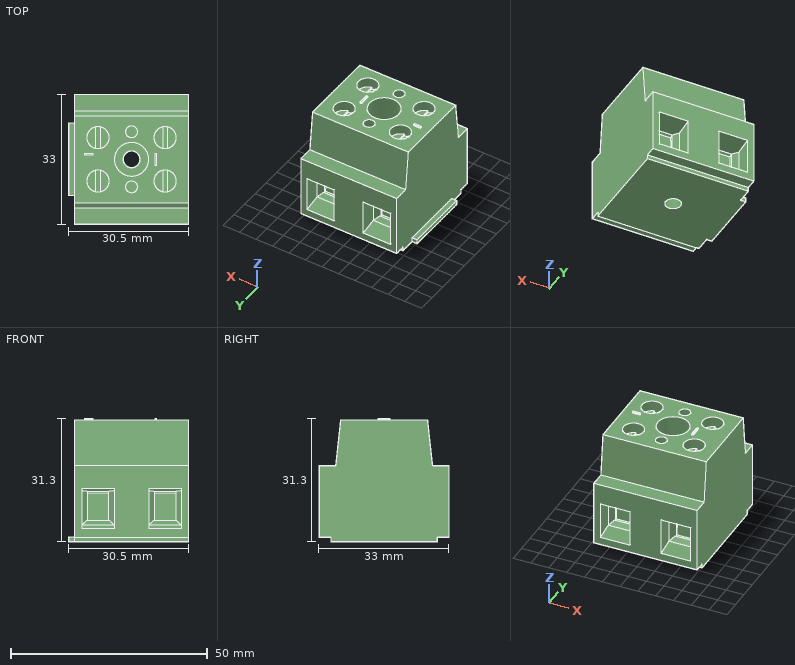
import cadquery as cq
import math


body_width = 29.0
body_length = 33
body_height = 31.0
shoulder_height = 19.4
neck_length_base = 24.62
neck_length_top = 22.1
foot_length = 27.0
foot_height = 1.2

tab_reach = 1.5
tab_length = 18.48
tab_height = 1.32

pole_x = 8.5
screw_y = 5.5
screw_hole_diameter = 5.6
screw_hole_depth = 2.95
slot_width = 1.15
slot_depth = 0.5

mount_hole_diameter = 4.2
mount_bore_diameter = 8.6
blind_hole_diameter = 3.0
blind_hole_depth = 3.0
blind_hole_y = 7.0

entry_width = 8.25
entry_bottom = 3.4
entry_top = 13.6
throat_width = 5.45
throat_floor = 5.45
straight_depth = 4.72
floor_angle = 10.3
ceiling_angle = 6.9
guard_drop = 0.43
guard_bend_angle = 30
guard_tilt = 2.5

marker_height = 0.3
marker_stroke = 0.45
marker_length = 3.05
marker_foot_length = 2.1
marker_one_x = 6.15
marker_two_x = -10.9


def rise(run, angle):
    """Height gained over a run at an angle in degrees."""
    return run * math.tan(math.radians(angle))


def make_body():
    """Stepped profile in YZ, extruded over the full width."""
    right_side = [
        (foot_length / 2, 0),
        (foot_length / 2, foot_height),
        (body_length / 2, foot_height),
        (body_length / 2, shoulder_height),
        (neck_length_base / 2, shoulder_height),
        (neck_length_top / 2, body_height),
    ]
    left_side = [(-y, z) for y, z in reversed(right_side)]
    profile = cq.Workplane("YZ").polyline(right_side + left_side).close()
    return profile.extrude(body_width / 2, both=True)


def make_tab():
    tab = cq.Workplane("XY").box(tab_reach, tab_length, tab_height, centered=(False, True, False))
    return tab.translate((-body_width / 2 - tab_reach, 0, 0))


def make_wire_entry():
    """Funnel on the -Y side at X = 0: a side profile crossed with a plan profile."""
    front_y = -body_length / 2
    taper_depth = (entry_width - throat_width) / 2
    funnel_depth = straight_depth + taper_depth
    ramp_start = entry_bottom + rise(straight_depth, floor_angle)
    ramp_depth = throat_floor - ramp_start
    ceiling_end = entry_top - rise(funnel_depth, ceiling_angle)
    guard_top = ceiling_end - guard_drop
    guard_depth = funnel_depth + guard_drop / math.tan(math.radians(guard_bend_angle))
    guard_base_depth = guard_depth - rise(guard_top - throat_floor, guard_tilt)

    side_points = [
        (0, entry_bottom),
        (straight_depth, ramp_start),
        (straight_depth + ramp_depth, throat_floor),
        (guard_base_depth, throat_floor),
        (guard_depth, guard_top),
        (funnel_depth, ceiling_end),
        (0, entry_top),
    ]
    side = cq.Workplane("YZ").polyline(side_points).close().extrude(entry_width / 2, both=True)

    plan_half = [
        (entry_width / 2, 0),
        (entry_width / 2, straight_depth),
        (throat_width / 2, funnel_depth),
        (throat_width / 2, guard_depth),
    ]
    plan_points = plan_half + [(-x, y) for x, y in reversed(plan_half)]
    plan = cq.Workplane("XY").polyline(plan_points).close().extrude(body_height)
    return side.intersect(plan).translate((0, front_y, 0))


def make_screw_hole():
    """Round hole down to a screw head, with the slot cut across the head along Y."""
    slot_floor_depth = screw_hole_depth + slot_depth
    hole = cq.Workplane("XY").circle(screw_hole_diameter / 2).extrude(-screw_hole_depth)
    deep_hole = cq.Workplane("XY").circle(screw_hole_diameter / 2).extrude(-slot_floor_depth)
    slot = cq.Workplane("XY").rect(slot_width, screw_hole_diameter).extrude(-slot_floor_depth)
    return hole.union(deep_hole.intersect(slot)).translate((0, 0, body_height))


def make_marker(x, y, size_x, size_y):
    stroke = cq.Workplane("XY").box(size_x, size_y, marker_height, centered=(True, True, False))
    return stroke.translate((x, y, body_height))


result = make_body().union(make_tab())

wire_entry = make_wire_entry()
screw_hole = make_screw_hole()
for x in (-pole_x, pole_x):
    for entry in (wire_entry, wire_entry.mirror("XZ")):
        result = result.cut(entry.translate((x, 0, 0)))
    for y in (-screw_y, screw_y):
        result = result.cut(screw_hole.translate((x, y, 0)))

result = (
    result.faces(">Z").workplane(origin=(0, 0, body_height))
    .cboreHole(mount_hole_diameter, mount_bore_diameter, body_height - shoulder_height)
)
result = (
    result.faces(">Z").workplane(origin=(0, 0, body_height))
    .pushPoints([(0, -blind_hole_y), (0, blind_hole_y)])
    .hole(blind_hole_diameter, blind_hole_depth)
)

result = result.union(make_marker(marker_one_x, 0, marker_stroke, marker_length))
marker_foot_y = (marker_length - marker_stroke) / 2
result = result.union(make_marker(marker_two_x, marker_foot_y, marker_foot_length, marker_stroke))